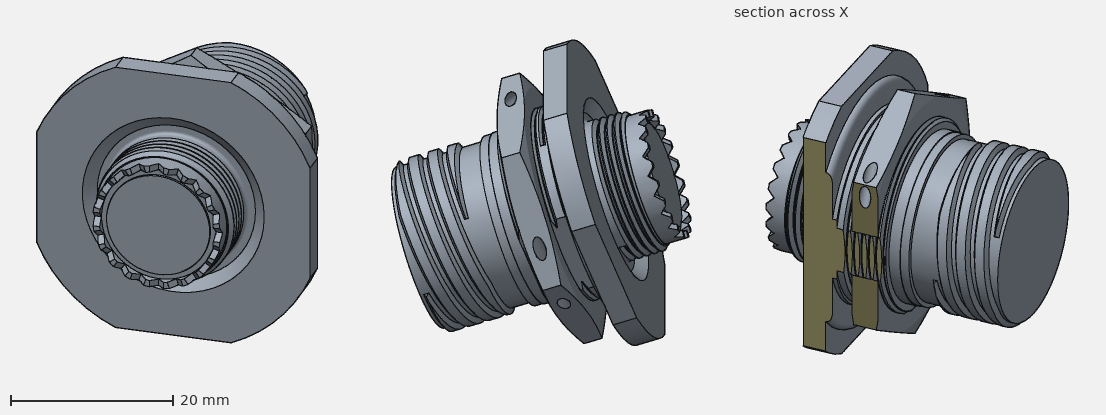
import cadquery as cq
import math


flange_width = 35.3
flange_corner_radius = 19.16
flange_thickness = 3.1
collar_radius = 16.05
collar_height = 0.9
collar_fillet = 0.85
collar_top = flange_thickness + collar_height

recess_radius = 11.74
recess_depth = 1.25
recess_floor_radius = 10.37
recess_corner = 0.15
stem_fillet = 0.42

stem_radius = 8.98
stem_root_radius = 8.33
stem_pitch = 1.0
stem_thread_end = -4.22
stem_chamfer = 0.6
stem_groove_angle = 180
stem_groove_z = -4.54
stem_groove_length = 4.7
neck_radius = 8.24
neck_end = -6.85
tooth_count = 20
tooth_depth = 0.92
tooth_inner_radius = 7.4
insert_radius = 6.66
insert_face = -6.2
insert_groove_floor = -5.85

step_radius = 12.75
step_top = 4.6
jam_radius = 12.4
jam_root_radius = 11.9
jam_pitch = 1.0
jam_top = 11.2
jam_chamfer = 0.45
jam_groove_angle = 162
jam_groove_z = 5.28
jam_groove_length = 6.0
key_flat_distance = 11.09

shoulder_radius = 11.03
shoulder_top = 12.69
land_radius = 10.93
land_top = 13.86
barrel_radius = 10.35
barrel_top = 25.65
coupling_crest_radius = 11.03
coupling_starts = 3
coupling_lead = 7.62
coupling_bottom = 16.77
coupling_top = 25.2
coupling_crest_width = 1.25
coupling_base_width = 2.0
coupling_start_angle = 253
coupling_start_z = 16.27
coupling_rise = 9.25

nut_sides = 6
nut_across_flats = 29.66
nut_bottom = 6.62
nut_thickness = 3.57
nut_chamfer_angle = 15
nut_chamfer_radius = 14.9
wire_hole_diameter = 1.5
wire_hole_offset = 14.6
wire_hole_count = 3
wire_hole_first_angle = 90

groove_root_width = 0.1
groove_half_angle = 30
tool_overlap = 0.12


def helical_sweep(profile, lead, height, angle, z):
    """Sweep an outline of (radius, height) points along a right-handed helix."""
    path = cq.Wire.makeHelix(lead, height, profile[0][0])
    solid = cq.Workplane("XZ").polyline(profile).close().sweep(cq.Workplane(path), isFrenet=True)
    return solid.rotate((0, 0, 0), (0, 0, 1), angle).translate((0, 0, z))


def cut_groove(body, major_radius, root_radius, pitch, height, angle, z):
    """Cut a helical V groove, with its lower end at the given angle and height, into a body."""
    outer_radius = major_radius + tool_overlap
    root_half = groove_root_width / 2
    outer_half = root_half + (outer_radius - root_radius) * math.tan(math.radians(groove_half_angle))
    profile = [
        (root_radius, root_half),
        (root_radius, -root_half),
        (outer_radius, -outer_half),
        (outer_radius, outer_half),
    ]
    return body.cut(helical_sweep(profile, pitch, height, angle, z))


def make_flange():
    square = cq.Workplane("XY").rect(flange_width, flange_width).extrude(flange_thickness)
    disc = cq.Workplane("XY").circle(flange_corner_radius).extrude(flange_thickness)
    flange = square.intersect(disc)
    collar = cq.Workplane("XY").circle(collar_radius).extrude(collar_top)
    return flange.union(collar.faces(">Z").edges().fillet(collar_fillet))


def make_recess():
    """Conical recess with a small bevel around its floor."""
    return (
        cq.Workplane("XZ")
        .lineTo(recess_radius, 0)
        .lineTo(recess_floor_radius, recess_depth - recess_corner)
        .lineTo(recess_floor_radius - recess_corner, recess_depth)
        .lineTo(0, recess_depth)
        .close()
        .revolve(360, (0, 0), (0, 1))
    )


def make_stem():
    """Threaded stem with a fillet at its root in the recess and a toothed ring at its end."""
    arc_middle = stem_fillet * (1 - math.sqrt(0.5))
    stem = (
        cq.Workplane("XZ")
        .moveTo(0, stem_thread_end)
        .lineTo(stem_radius - stem_chamfer, stem_thread_end)
        .lineTo(stem_radius, stem_thread_end + stem_chamfer)
        .lineTo(stem_radius, recess_depth - stem_fillet)
        .threePointArc(
            (stem_radius + arc_middle, recess_depth - arc_middle),
            (stem_radius + stem_fillet, recess_depth),
        )
        .lineTo(0, recess_depth)
        .close()
        .revolve(360, (0, 0), (0, 1))
    )
    stem = cut_groove(
        stem,
        stem_radius,
        stem_root_radius,
        stem_pitch,
        stem_groove_length,
        stem_groove_angle,
        stem_groove_z,
    )
    return stem.union(make_toothed_end())


def make_toothed_end():
    """Plain neck ending in a toothed ring around the face of the insert."""
    neck = (
        cq.Workplane("XZ")
        .moveTo(0, insert_face)
        .lineTo(insert_radius, insert_face)
        .lineTo(insert_radius, insert_groove_floor)
        .lineTo(tooth_inner_radius, insert_groove_floor)
        .lineTo(tooth_inner_radius, neck_end)
        .lineTo(neck_radius, neck_end)
        .lineTo(neck_radius, stem_thread_end)
        .lineTo(0, stem_thread_end)
        .close()
        .revolve(360, (0, 0), (0, 1))
    )
    return neck.cut(make_tooth_gaps())


def make_tooth_gaps():
    """Right-angled V notches through the end ring, spaced evenly around it."""
    reach = stem_radius - insert_radius
    notch = (
        cq.Workplane("YZ", origin=(insert_radius, 0, neck_end))
        .moveTo(0, tooth_depth)
        .lineTo(-2 * tooth_depth, -tooth_depth)
        .lineTo(2 * tooth_depth, -tooth_depth)
        .close()
        .extrude(reach)
        .val()
    )
    ring = (
        cq.Workplane("XY", origin=(0, 0, neck_end - tooth_depth))
        .circle(stem_radius)
        .circle(tooth_inner_radius)
        .extrude(2 * tooth_depth)
    )
    gaps = cq.Workplane("XY")
    for i in range(tooth_count):
        gaps = gaps.union(cq.Workplane(notch.rotate((0, 0, 0), (0, 0, 1), i * 360 / tooth_count)))
    return gaps.intersect(ring)


def make_jam_thread():
    """Step and jam nut thread behind the collar, with the flat that keys them to the panel."""
    step = cq.Workplane("XY", origin=(0, 0, collar_top)).circle(step_radius).extrude(step_top - collar_top)
    thread = cq.Workplane("XY", origin=(0, 0, step_top)).circle(jam_radius).extrude(jam_top - step_top)
    thread = thread.faces(">Z").edges().chamfer(jam_chamfer)
    thread = cut_groove(
        thread, jam_radius, jam_root_radius, jam_pitch, jam_groove_length, jam_groove_angle, jam_groove_z
    )
    flat_depth = step_radius - key_flat_distance
    beyond_flat = (
        cq.Workplane("XY", origin=(0, key_flat_distance + flat_depth / 2, collar_top))
        .rect(2 * step_radius, flat_depth)
        .extrude(jam_top - collar_top)
    )
    return thread.union(step).cut(beyond_flat)


def make_barrel():
    """Stepped barrel of the mating end, with the ridges of the coupling thread."""
    barrel = (
        cq.Workplane("XZ")
        .moveTo(0, jam_top)
        .lineTo(shoulder_radius, jam_top)
        .lineTo(shoulder_radius, shoulder_top)
        .lineTo(land_radius, shoulder_top)
        .lineTo(land_radius, land_top)
        .lineTo(barrel_radius, land_top)
        .lineTo(barrel_radius, barrel_top)
        .lineTo(0, barrel_top)
        .close()
        .revolve(360, (0, 0), (0, 1))
    )
    for ridge in make_coupling_ridges():
        barrel = barrel.union(ridge)
    return barrel


def make_coupling_ridges():
    """Trapezoidal ridges of the coupling thread, bevelled off at both ends."""
    inner_radius = barrel_radius - tool_overlap
    crest_half = coupling_crest_width / 2
    flank_slope = (coupling_base_width - coupling_crest_width) / 2 / (coupling_crest_radius - barrel_radius)
    inner_half = coupling_base_width / 2 + tool_overlap * flank_slope
    profile = [
        (inner_radius, -inner_half),
        (coupling_crest_radius, -crest_half),
        (coupling_crest_radius, crest_half),
        (inner_radius, inner_half),
    ]
    bevel_height = (step_radius - barrel_radius) * flank_slope
    trim = (
        cq.Workplane("XZ")
        .moveTo(0, coupling_bottom)
        .lineTo(barrel_radius, coupling_bottom)
        .lineTo(step_radius, coupling_bottom + bevel_height)
        .lineTo(step_radius, coupling_top - bevel_height)
        .lineTo(barrel_radius, coupling_top)
        .lineTo(0, coupling_top)
        .close()
        .revolve(360, (0, 0), (0, 1))
    )
    ridges = []
    for i in range(coupling_starts):
        angle = coupling_start_angle + i * 360 / coupling_starts
        ridge = helical_sweep(profile, coupling_lead, coupling_rise, angle, coupling_start_z)
        ridges.append(ridge.intersect(trim))
    return ridges


def make_shell():
    shell = make_flange().cut(make_recess())
    return shell.union(make_stem()).union(make_jam_thread()).union(make_barrel())


def make_nut():
    corner_radius = nut_across_flats / 2 / math.cos(math.pi / nut_sides)
    nut = (
        cq.Workplane("XY", origin=(0, 0, nut_bottom))
        .polygon(nut_sides, 2 * corner_radius)
        .extrude(nut_thickness)
        .rotate((0, 0, 0), (0, 0, 1), 180 / nut_sides)
    )
    nut = nut.cut(cq.Workplane("XY", origin=(0, 0, nut_bottom)).circle(jam_radius).extrude(nut_thickness))

    nut_top = nut_bottom + nut_thickness
    corner_drop = (corner_radius - nut_chamfer_radius) * math.tan(math.radians(nut_chamfer_angle))
    chamfer_envelope = (
        cq.Workplane("XZ")
        .moveTo(0, nut_bottom)
        .lineTo(nut_chamfer_radius, nut_bottom)
        .lineTo(corner_radius, nut_bottom + corner_drop)
        .lineTo(corner_radius, nut_top - corner_drop)
        .lineTo(nut_chamfer_radius, nut_top)
        .lineTo(0, nut_top)
        .close()
        .revolve(360, (0, 0), (0, 1))
    )
    nut = nut.intersect(chamfer_envelope)

    wire_hole = (
        cq.Workplane("XZ", origin=(wire_hole_offset, corner_radius, nut_bottom + nut_thickness / 2))
        .circle(wire_hole_diameter / 2)
        .extrude(2 * corner_radius)
    )
    for i in range(wire_hole_count):
        angle = wire_hole_first_angle + i * 360 / wire_hole_count
        nut = nut.cut(wire_hole.rotate((0, 0, 0), (0, 0, 1), angle))
    return nut


def lay_along_y(body):
    return body.rotate((0, 0, 0), (1, 0, 0), -90)


shell = lay_along_y(make_shell())
jam_nut = lay_along_y(make_nut())

result = cq.Compound.makeCompound([shell.val(), jam_nut.val()])